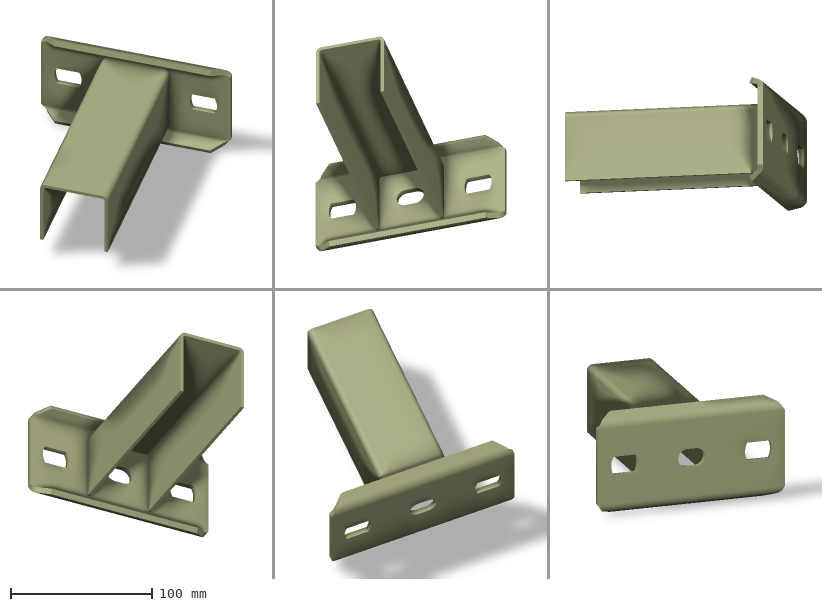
import cadquery as cq
import math

PLATE_LENGTH = 140.0
PLATE_THICKNESS = 4.0
OVERALL_HEIGHT = 75.0

BEND_INNER_RADIUS = 2.5
BEND_OUTER_RADIUS = BEND_INNER_RADIUS + PLATE_THICKNESS
FLANGE_SLOPE = 25.0
BEND_ANGLE = 90.0 - FLANGE_SLOPE
FLANGE_STRAIGHT = 8.0
BEND_TRIM = 4.5
FLANGE_TRIM = FLANGE_STRAIGHT

BEND_Z = (
    OVERALL_HEIGHT / 2
    - BEND_OUTER_RADIUS * math.sin(math.radians(BEND_ANGLE))
    - FLANGE_STRAIGHT * math.sin(math.radians(FLANGE_SLOPE))
)
BEND_Y = -BEND_OUTER_RADIUS

SLOT_LENGTH = 20.0
SLOT_HEIGHT = 13.5
SIDE_SLOT_OFFSET = 50.0
CENTRE_SLOT_FLAT = SLOT_LENGTH - SLOT_HEIGHT
SIDE_SLOT_FLAT = 16.8

OVERALL_DEPTH = 154.0
ARM_WIDTH = 50.0
ARM_HEIGHT = 50.0
ARM_WALL = 2.5
ARM_OUTER_RADIUS = 4.0
ARM_INNER_RADIUS = ARM_OUTER_RADIUS - ARM_WALL
ARM_LENGTH = OVERALL_DEPTH - PLATE_THICKNESS

CUT_MARGIN = 0.8


def around_axis(radius, angle):
    """(Y, Z) offset from the upper bend axis; at angle 0 it points to the back of the plate."""
    turn = math.radians(angle)
    return radius * math.cos(turn), radius * math.sin(turn)


def bend_sector(inner, outer, start, end, x_start):
    """Outline of a ring sector around the upper bend axis, drawn across X at x_start."""
    middle = (start + end) / 2
    return (
        cq.Workplane("YZ", origin=(x_start, BEND_Y, BEND_Z))
        .moveTo(*around_axis(inner, start))
        .lineTo(*around_axis(outer, start))
        .threePointArc(around_axis(outer, middle), around_axis(outer, end))
        .lineTo(*around_axis(inner, end))
        .threePointArc(around_axis(inner, middle), around_axis(inner, start))
        .close()
    )


def make_bend():
    """Rounded bend whose ends run inwards evenly with the bend angle."""
    bend = bend_sector(BEND_INNER_RADIUS, BEND_OUTER_RADIUS, 0, BEND_ANGLE, 0)
    bend = bend.extrude(PLATE_LENGTH / 2, both=True)
    trim = bend_sector(
        BEND_INNER_RADIUS - CUT_MARGIN,
        BEND_OUTER_RADIUS + CUT_MARGIN,
        BEND_ANGLE,
        2 * BEND_ANGLE,
        PLATE_LENGTH / 2 - BEND_TRIM,
    ).twistExtrude(BEND_TRIM, -BEND_ANGLE)
    return bend.cut(trim).cut(trim.mirror("YZ"))


def make_straight_flange():
    """Flat part of the upper flange: a trapezoid with 45 degree ends."""
    root_half = PLATE_LENGTH / 2 - BEND_TRIM
    tip_half = root_half - FLANGE_TRIM
    root_y, root_z = around_axis(BEND_INNER_RADIUS, BEND_ANGLE)
    sheet = cq.Plane(
        origin=(0, BEND_Y + root_y, BEND_Z + root_z),
        xDir=(-1, 0, 0),
        normal=(0, *around_axis(1, BEND_ANGLE)),
    )
    return (
        cq.Workplane(sheet)
        .moveTo(-root_half, 0)
        .lineTo(root_half, 0)
        .lineTo(tip_half, FLANGE_STRAIGHT)
        .lineTo(-tip_half, FLANGE_STRAIGHT)
        .close()
        .extrude(PLATE_THICKNESS)
    )


def slot_cutter(centre_x, flat_length):
    """Slot with flat top and bottom edges and bulging round ends."""
    half_flat = flat_length / 2
    half_length = SLOT_LENGTH / 2
    half_height = SLOT_HEIGHT / 2
    return (
        cq.Workplane("XZ")
        .moveTo(-half_flat, half_height)
        .lineTo(half_flat, half_height)
        .threePointArc((half_length, 0), (half_flat, -half_height))
        .lineTo(-half_flat, -half_height)
        .threePointArc((-half_length, 0), (-half_flat, half_height))
        .close()
        .extrude(PLATE_THICKNESS)
        .translate((centre_x, 0, 0))
    )


def make_plate():
    plate = cq.Workplane("XY").box(PLATE_LENGTH, PLATE_THICKNESS, 2 * BEND_Z)
    plate = plate.translate((0, -PLATE_THICKNESS / 2, 0))
    upper_flange = make_bend().union(make_straight_flange())
    plate = plate.union(upper_flange).union(upper_flange.mirror("XY"))
    plate = plate.cut(slot_cutter(0, CENTRE_SLOT_FLAT))
    for side in (-1, 1):
        plate = plate.cut(slot_cutter(side * SIDE_SLOT_OFFSET, SIDE_SLOT_FLAT))
    return plate


def make_arm():
    outer = (
        cq.Workplane("XZ", origin=(0, -PLATE_THICKNESS, 0))
        .rect(ARM_WIDTH, ARM_HEIGHT)
        .extrude(ARM_LENGTH)
        .edges("|Y and >Z")
        .fillet(ARM_OUTER_RADIUS)
    )
    channel = (
        cq.Workplane("XZ", origin=(0, -PLATE_THICKNESS, -ARM_WALL))
        .rect(ARM_WIDTH - 2 * ARM_WALL, ARM_HEIGHT)
        .extrude(ARM_LENGTH)
        .edges("|Y and >Z")
        .fillet(ARM_INNER_RADIUS)
    )
    return outer.cut(channel)


plate = make_plate()
arm = make_arm()

result = cq.Compound.makeCompound([plate.val(), arm.val()])